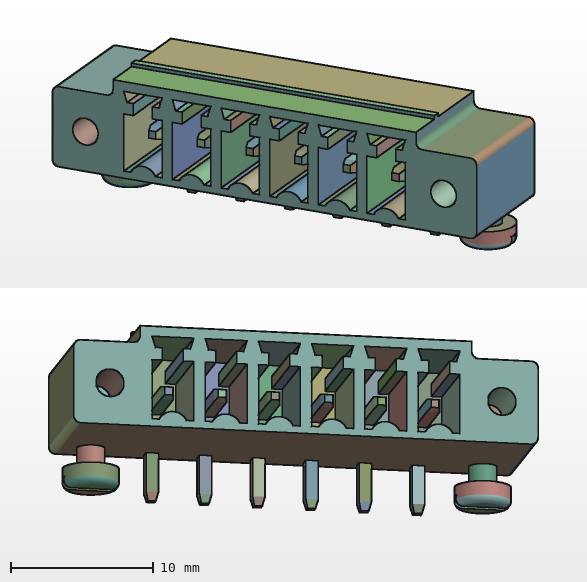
import cadquery as cq


length = 33.25
depth = 9.2
flange_height = 6.02
body_width = 23.75
body_height = 7.25
edge_radius = 0.5
front_y = -depth / 2

total_height = 10.95
pin_tip_drop = 3.42
rib_top_z = total_height - pin_tip_drop
rib_width = 0.63
rib_y = -1.35

pole_count = 6
row_span = 19.05
pitch = row_span / (pole_count - 1)
pole_positions = [i * pitch - row_span / 2 for i in range(pole_count)]
chamber_depth = 6.65
chamber_width = 3.0
floor_z = 0.53
shoulder_z = 4.82
neck_width = 1.5
shelf_z = 5.72
shelf_width = 2.5
ceiling_z = 6.52
floor_ridge_width = 1.95
floor_ridge_height = 0.6

pin_size = 0.9
pin_tip_size = 0.55
pin_taper = 0.63
axis_z = 3.0
pin_setback = 1.5
pin_leg_y = 3.4

screw_x = 14.03
screw_y = 2.5
shank_diameter = 2.0
shank_embed = 0.33
head_diameter = 4.0
head_top_z = -1.5
head_bottom_z = -3.0
slot_width = 0.6
slot_depth = 0.8
hole_diameter = 2.0
hole_depth = 5.0


def extrude_along_y(outline, start_y, distance):
    """Extrude an XZ outline toward +Y from start_y."""
    return outline.extrude(-distance).translate((0, start_y, 0))


def make_housing():
    half_length = length / 2
    half_body = body_width / 2
    outline = (
        cq.Workplane("XZ")
        .moveTo(-half_length, 0)
        .lineTo(half_length, 0)
        .lineTo(half_length, flange_height)
        .lineTo(half_body, flange_height)
        .lineTo(half_body, body_height)
        .lineTo(-half_body, body_height)
        .lineTo(-half_body, flange_height)
        .lineTo(-half_length, flange_height)
        .close()
    )
    housing = extrude_along_y(outline, front_y, depth)
    flange_edges = cq.selectors.BoxSelector(
        (-length, -depth, -edge_radius),
        (length, depth, flange_height + edge_radius),
    )
    housing = housing.edges("|Y").edges(flange_edges).fillet(edge_radius)
    rib = (
        cq.Workplane("XY", origin=(0, rib_y, ceiling_z))
        .rect(body_width, rib_width)
        .extrude(rib_top_z - ceiling_z)
    )
    return housing.union(rib)


def make_chamber(x):
    """Keyhole-shaped cavity with a dovetail top and a round ridge left on its floor."""
    half_chamber = chamber_width / 2
    half_neck = neck_width / 2
    half_shelf = shelf_width / 2
    half_ridge = floor_ridge_width / 2
    outline = (
        cq.Workplane("XZ")
        .moveTo(-half_chamber, floor_z)
        .lineTo(-half_ridge, floor_z)
        .threePointArc((0, floor_z + floor_ridge_height), (half_ridge, floor_z))
        .lineTo(half_chamber, floor_z)
        .lineTo(half_chamber, shoulder_z)
        .lineTo(half_neck, shoulder_z)
        .lineTo(half_neck, shelf_z)
        .lineTo(half_shelf, shelf_z)
        .lineTo(half_chamber, ceiling_z)
        .lineTo(-half_chamber, ceiling_z)
        .lineTo(-half_shelf, shelf_z)
        .lineTo(-half_neck, shelf_z)
        .lineTo(-half_neck, shoulder_z)
        .lineTo(-half_chamber, shoulder_z)
        .close()
    )
    return extrude_along_y(outline, front_y, chamber_depth).translate((x, 0, 0))


def make_pin_arm(pin_length):
    """Square pin pointing toward +Z with its blunt tip at the origin."""
    tip = (
        cq.Workplane("XY")
        .rect(pin_tip_size, pin_tip_size)
        .workplane(offset=-pin_taper)
        .rect(pin_size, pin_size)
        .loft(ruled=True)
    )
    shaft = (
        cq.Workplane("XY", origin=(0, 0, -pin_taper))
        .rect(pin_size, pin_size)
        .extrude(pin_taper - pin_length)
    )
    return tip.union(shaft)


def make_pin(x):
    """Right-angle pin: one arm in the chamber, one leg below the housing."""
    tip_y = front_y + pin_setback
    arm = make_pin_arm(pin_leg_y + pin_size / 2 - tip_y)
    arm = arm.rotate((0, 0, 0), (1, 0, 0), 90).translate((x, tip_y, axis_z))
    leg = make_pin_arm(pin_tip_drop + axis_z)
    leg = leg.rotate((0, 0, 0), (1, 0, 0), 180).translate((x, pin_leg_y, -pin_tip_drop))
    return arm.union(leg)


def make_screw(x):
    """Slotted cheese-head screw hanging below a flange."""
    head = (
        cq.Workplane("XY", origin=(x, screw_y, head_bottom_z))
        .circle(head_diameter / 2)
        .extrude(head_top_z - head_bottom_z)
        .faces("<Z")
        .edges()
        .fillet(edge_radius)
    )
    slot = (
        cq.Workplane("XY", origin=(x, screw_y, head_bottom_z))
        .rect(head_diameter, slot_width)
        .extrude(slot_depth)
    )
    shank = (
        cq.Workplane("XY", origin=(x, screw_y, head_top_z))
        .circle(shank_diameter / 2)
        .extrude(shank_embed - head_top_z)
    )
    return head.cut(slot).union(shank)


def make_flange_hole(x):
    outline = cq.Workplane("XZ").center(x, axis_z).circle(hole_diameter / 2)
    return extrude_along_y(outline, front_y, hole_depth)


result = make_housing()
for pole_x in pole_positions:
    result = result.cut(make_chamber(pole_x))
    result = result.union(make_pin(pole_x))
for flange_x in (-screw_x, screw_x):
    result = result.cut(make_flange_hole(flange_x))
    result = result.union(make_screw(flange_x))